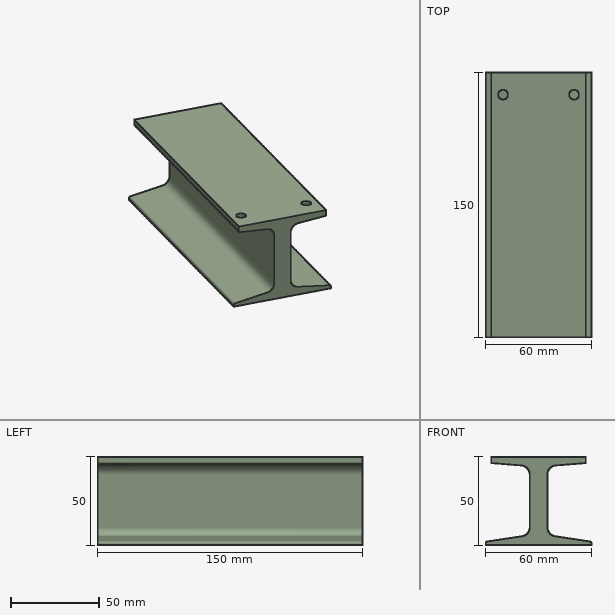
import cadquery as cq

length = 150.0
height = 50.0
web_thickness = 10.2
root_radius = 5.0

top_width = 53.7
top_tip_thickness = 3.6
top_slope = 0.08
top_tip_radius = 0.6

bottom_width = 60.0
bottom_tip_thickness = 2.0
bottom_slope = 0.15
bottom_tip_radius = 1.2

hole_diameter = 5.5
hole_spacing = 40.2
hole_end_distance = 12.6

web_half = web_thickness / 2
top_root_thickness = top_tip_thickness + top_slope * (top_width / 2 - web_half)
bottom_root_thickness = bottom_tip_thickness + bottom_slope * (bottom_width / 2 - web_half)


def fillet_edges_at(body, x, z, radius):
    """Round the lengthwise edges at +x and -x at height z."""
    for side in (-1, 1):
        selector = cq.selectors.NearestToPointSelector((side * x, length / 2, z))
        body = body.edges("|Y").edges(selector).fillet(radius)
    return body


def make_beam():
    """Extrude the unequal-flange I-section along Y, then round its edges."""
    right_outline = [
        (bottom_width / 2, 0),
        (bottom_width / 2, bottom_tip_thickness),
        (web_half, bottom_root_thickness),
        (web_half, height - top_root_thickness),
        (top_width / 2, height - top_tip_thickness),
        (top_width / 2, height),
    ]
    left_outline = [(-x, z) for x, z in reversed(right_outline)]
    beam = cq.Workplane("XZ").polyline(right_outline + left_outline).close().extrude(-length)

    beam = fillet_edges_at(beam, web_half, bottom_root_thickness, root_radius)
    beam = fillet_edges_at(beam, web_half, height - top_root_thickness, root_radius)
    beam = fillet_edges_at(beam, bottom_width / 2, bottom_tip_thickness, bottom_tip_radius)
    beam = fillet_edges_at(beam, top_width / 2, height - top_tip_thickness, top_tip_radius)
    return beam


def make_flange_holes():
    """Two cylinders that pierce the top flange only, near the +Y end."""
    hole_y = length - hole_end_distance
    return (
        cq.Workplane("XY", origin=(0, hole_y, height / 2))
        .pushPoints([(-hole_spacing / 2, 0), (hole_spacing / 2, 0)])
        .circle(hole_diameter / 2)
        .extrude(height / 2)
    )


result = make_beam().cut(make_flange_holes())